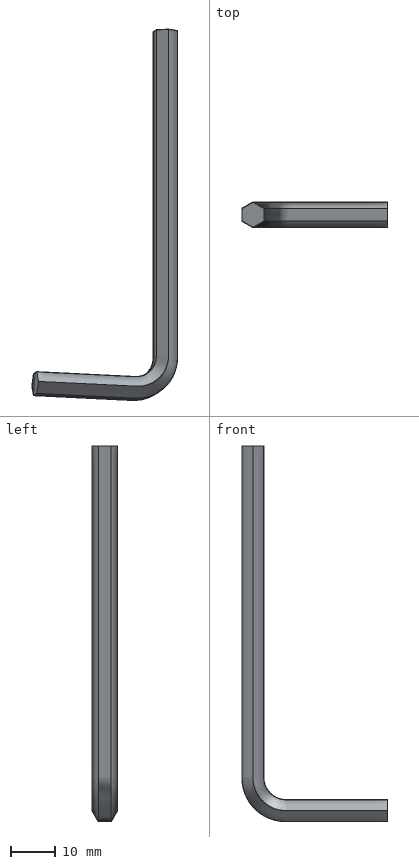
import cadquery as cq
import math

across_flats = 5.0
long_arm_length = 85.0
short_arm_length = 33.0
inner_bend_radius = 5.0

across_corners = across_flats / math.cos(math.pi / 6)
half_flats = across_flats / 2
bend_radius = inner_bend_radius + half_flats

top_z = long_arm_length - half_flats
short_arm_end_x = short_arm_length - half_flats


def make_centreline():
    """Path down the long arm, round the bend and out along the short arm."""
    bend_diagonal = bend_radius * (1 - math.sqrt(0.5))
    return (
        cq.Workplane("XZ")
        .moveTo(0, top_z)
        .lineTo(0, bend_radius)
        .threePointArc((bend_diagonal, bend_diagonal), (bend_radius, 0))
        .lineTo(short_arm_end_x, 0)
    )


def make_hex_key():
    """Sweep the hexagon, with two flats facing along X and corners along Y."""
    section = (
        cq.Workplane("XY", origin=(0, 0, top_z))
        .transformed(rotate=(0, 0, 90))
        .polygon(6, across_corners)
    )
    return section.sweep(make_centreline())


result = make_hex_key()